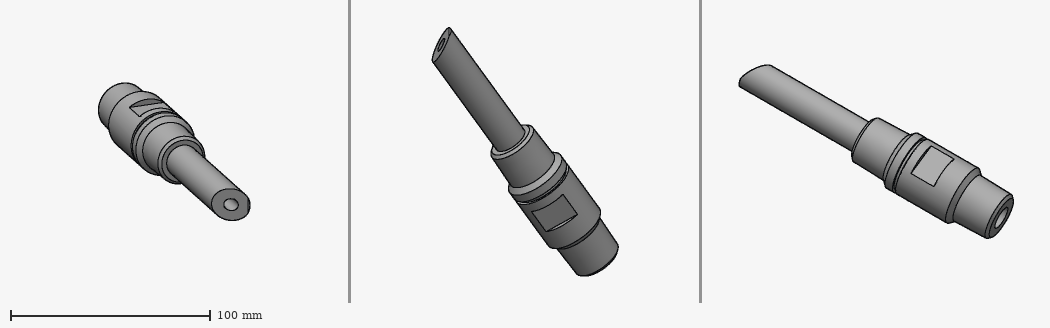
import cadquery as cq
import math

length = 151.5
body_diameter = 31.8

neck_end_radius = 12.7
neck_root_radius = 13.3
face_radius = 11.2
end_chamfer = 1.5
shoulder_chamfer = 2.7

body_start = 20.3
body_end = 62.1
collar_end = 82.4

groove_diameter = 29.0
groove_start = 53.0
groove_width = 1.8

flat_start = 34.4
flat_length = 13.6
flat_height = 12.9

stem_diameter = 17.1
cut_angle = 30.0
cut_center = 147.2

inlet_diameter = 12.0
inlet_depth = body_end
outlet_diameter = 6.4
outlet_bottom = collar_end


def cylinder_along_x(diameter, start, end):
    return cq.Workplane("YZ").workplane(offset=start).circle(diameter / 2).extrude(end - start)


def turned_body():
    radius = body_diameter / 2
    outline = [
        (0, 0),
        (0, face_radius),
        (end_chamfer, neck_end_radius),
        (body_start, neck_root_radius),
        (body_start + shoulder_chamfer, radius),
        (body_end - shoulder_chamfer, radius),
        (body_end, neck_root_radius),
        (collar_end - end_chamfer, neck_end_radius),
        (collar_end, face_radius),
        (collar_end, 0),
    ]
    return cq.Workplane("XY").polyline(outline).close().revolve(360, (0, 0, 0), (1, 0, 0))


def ring_groove():
    groove_end = groove_start + groove_width
    outer = cylinder_along_x(body_diameter, groove_start, groove_end)
    return outer.cut(cylinder_along_x(groove_diameter, groove_start, groove_end))


def wrench_flat(side):
    depth = body_diameter / 2 - flat_height
    middle = (flat_start + flat_length / 2, 0, side * (flat_height + depth / 2))
    return cq.Workplane("XY").box(flat_length, body_diameter, depth).translate(middle)


def oblique_waste():
    reach = stem_diameter
    lean = reach * math.tan(math.radians(cut_angle))
    corners = [
        (cut_center - lean, -reach),
        (length + lean, -reach),
        (length + lean, reach),
        (cut_center + lean, reach),
    ]
    return cq.Workplane("XY").polyline(corners).close().extrude(reach, both=True)


result = turned_body().cut(ring_groove())
for side in (1, -1):
    result = result.cut(wrench_flat(side))

stem = cylinder_along_x(stem_diameter, collar_end, length).cut(oblique_waste())
result = result.union(stem)

result = result.cut(cylinder_along_x(inlet_diameter, 0, inlet_depth))
result = result.cut(cylinder_along_x(outlet_diameter, outlet_bottom, length))